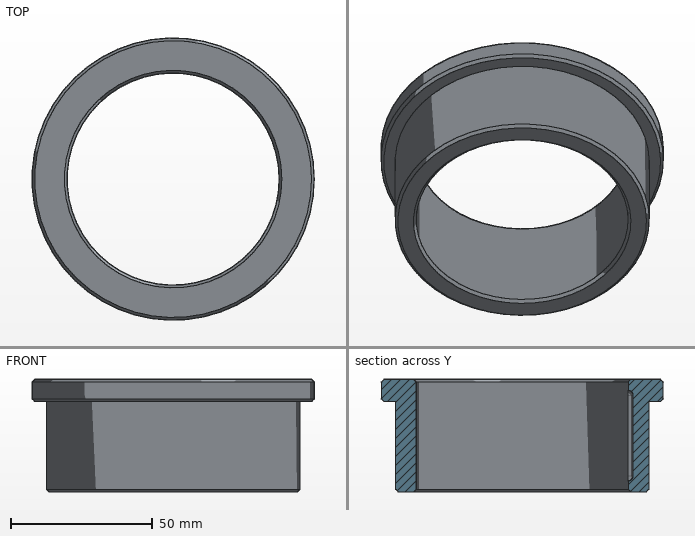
import cadquery as cq

flange_diameter = 100.0
body_diameter = 90.0
bore_diameter = 75.0
total_height = 40.0
flange_height = 8.0
edge_chamfer = 1.0

groove_width = 3.5
groove_bottom = 4.0
groove_top = 36.0


def flanged_body():
    """Sleeve body with a flange flush with its top face."""
    body = cq.Workplane("XY").circle(body_diameter / 2).extrude(total_height)
    body = body.faces("<Z").edges().chamfer(edge_chamfer)
    flange = (
        cq.Workplane("XY")
        .workplane(offset=total_height - flange_height)
        .circle(flange_diameter / 2)
        .extrude(flange_height)
        .edges()
        .chamfer(edge_chamfer)
    )
    return body.union(flange)


def chamfered_bore():
    """Through bore that widens at both mouths."""
    bore_radius = bore_diameter / 2
    mouth_radius = bore_radius + edge_chamfer
    return (
        cq.Workplane("XZ")
        .moveTo(0, 0)
        .lineTo(mouth_radius, 0)
        .lineTo(bore_radius, edge_chamfer)
        .lineTo(bore_radius, total_height - edge_chamfer)
        .lineTo(mouth_radius, total_height)
        .lineTo(0, total_height)
        .close()
        .revolve(360, (0, 0, 0), (0, 1, 0))
    )


def bore_groove():
    """Vertical rod with ball ends, centred on the bore surface."""
    radius = groove_width / 2
    low_centre = groove_bottom + radius
    high_centre = groove_top - radius
    return (
        cq.Workplane("XZ")
        .moveTo(0, groove_bottom)
        .radiusArc((radius, low_centre), -radius)
        .lineTo(radius, high_centre)
        .radiusArc((0, groove_top), -radius)
        .close()
        .revolve(360, (0, 0, 0), (0, 1, 0))
        .translate((bore_diameter / 2, 0, 0))
    )


result = flanged_body().cut(chamfered_bore()).cut(bore_groove())